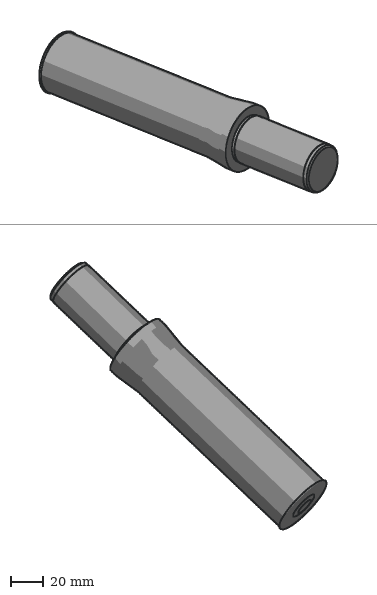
import cadquery as cq

rim_start = 0.8
rim_end = 2.3
flare_start = 127.7
flare_end = 144.5
collar_end = 150.0
land_start = 152.0
land_end = 206.5
overall_length = 210.0

barrel_diameter = 40.0
rim_diameter = 41.2
collar_diameter = 44.0

centre_dimple_depth = 0.8
inner_crest_diameter = 11.3
groove_diameter = 19.0
groove_depth = 0.8
outer_crest_diameter = 28.5
face_edge_diameter = 36.3
face_edge_setback = 0.5

land_diameter = 32.0
relief_diameter = 31.5
tip_chamfer = 1.0


def revolve_about_x(profile):
    """Turn a closed half profile, with radius along Y, about the X axis."""
    return profile.close().revolve(360, (0, 0, 0), (1, 0, 0))


def make_handle():
    """Barrel with a rippled end face, a bulged rim and a flare up to a collar."""
    barrel_radius = barrel_diameter / 2
    rim_radius = rim_diameter / 2
    collar_radius = collar_diameter / 2
    rim_middle = (rim_start + rim_end) / 2

    profile = (
        cq.Workplane("XY")
        .moveTo(centre_dimple_depth, 0)
        .lineTo(0, inner_crest_diameter / 2)
        .lineTo(groove_depth, groove_diameter / 2)
        .lineTo(0, outer_crest_diameter / 2)
        .lineTo(face_edge_setback, face_edge_diameter / 2)
        .lineTo(rim_start, barrel_radius)
        .threePointArc((rim_middle, rim_radius), (rim_end, barrel_radius))
        .lineTo(flare_start, barrel_radius)
        .lineTo(flare_end, collar_radius)
        .lineTo(collar_end, collar_radius)
        .lineTo(collar_end, 0)
    )
    return revolve_about_x(profile)


def make_spigot():
    """Shaft with a raised land between a neck relief and a chamfered tip."""
    land_radius = land_diameter / 2
    relief_radius = relief_diameter / 2

    profile = (
        cq.Workplane("XY")
        .moveTo(collar_end, 0)
        .lineTo(collar_end, relief_radius)
        .lineTo(land_start, relief_radius)
        .lineTo(land_start, land_radius)
        .lineTo(land_end, land_radius)
        .lineTo(land_end, relief_radius)
        .lineTo(overall_length - tip_chamfer, relief_radius)
        .lineTo(overall_length, relief_radius - tip_chamfer)
        .lineTo(overall_length, 0)
    )
    return revolve_about_x(profile)


handle = make_handle()
spigot = make_spigot()

result = cq.Compound.makeCompound([handle.val(), spigot.val()])